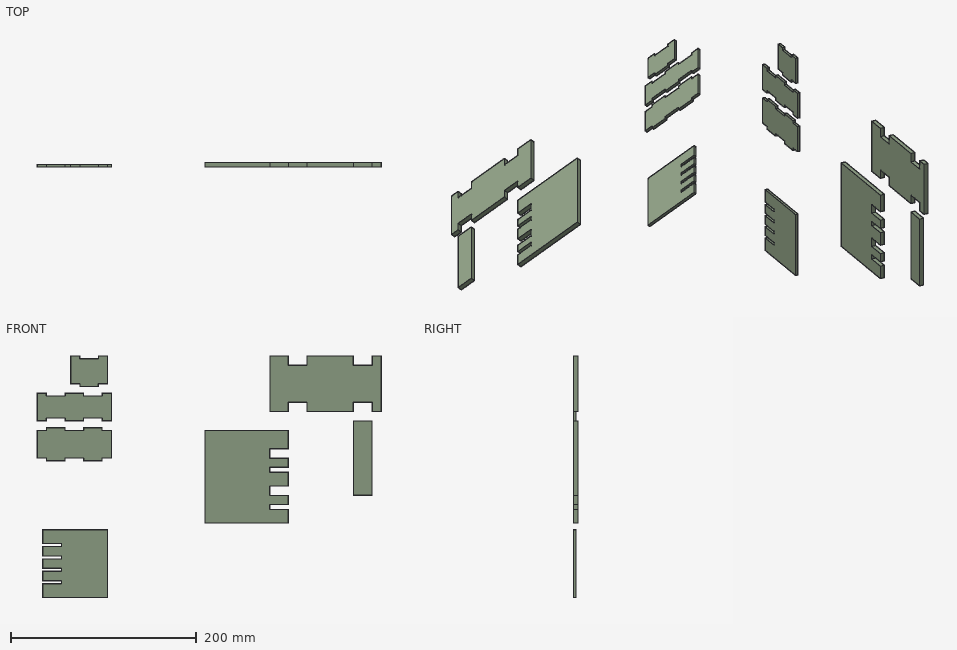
import cadquery as cq

layout_width = 370.2
layout_height = 260.0

module = 10.0
thick_sheet = module / 2
thin_sheet = 3.0

finger_width = 2 * module
slot_length = 2 * module

cross_width = 12 * module
cross_height = 6 * module
cross_left = layout_width - cross_width
cross_bottom = layout_height - cross_height
cross_notch_depth = module
cross_notch_offsets = [2 * module, 9 * module]

strip_width = 2 * module
strip_height = 8 * module
strip_left = cross_left + cross_notch_offsets[1]
strip_bottom = cross_bottom - module - strip_height

thick_comb_width = 9 * module
thick_comb_height = 10 * module
thick_comb_right = cross_left + slot_length
thick_comb_top = cross_bottom - 2 * module
wide_slot = module
narrow_slot = thick_sheet
slot_pair_pitch = 4 * module
first_wide_slot = 2 * module
first_narrow_slot = 4 * module
slot_pair_count = 2

thin_comb_left = 6.0
thin_comb_width = 7 * module
thin_comb_margin = 1.5 * module
thin_slot_count = 4
thin_slot_pitch = 4 * module / (thin_slot_count - 1)
thin_comb_height = 2 * thin_comb_margin + 4 * module + thin_sheet

panel_height = 3 * module
long_panel_width = 8 * module
long_finger_offsets = [module, 5 * module]
short_panel_width = 4 * module
short_panel_left = 36.0
short_panel_bottom = layout_height - panel_height
notched_panel_bottom = short_panel_bottom - 4 * module
tabbed_panel_bottom = notched_panel_bottom - 4 * module


def plate(left, bottom, width, height, thickness):
    """Upright rectangular plate with its front face at Y = 0."""
    return cq.Workplane("XY").box(width, thickness, height, centered=False).translate((left, 0, bottom))


def make_cross_plate():
    body = plate(cross_left, cross_bottom, cross_width, cross_height, thick_sheet)
    for offset in cross_notch_offsets:
        for notch_bottom in (cross_bottom, layout_height - cross_notch_depth):
            notch_left = cross_left + offset
            body = body.cut(plate(notch_left, notch_bottom, finger_width, cross_notch_depth, thick_sheet))
    return body


def make_strip():
    return plate(strip_left, strip_bottom, strip_width, strip_height, thick_sheet)


def make_thick_comb():
    left = thick_comb_right - thick_comb_width
    bottom = thick_comb_top - thick_comb_height
    body = plate(left, bottom, thick_comb_width, thick_comb_height, thick_sheet)
    slot_left = thick_comb_right - slot_length
    for pair in range(slot_pair_count):
        for first_slot, slot_width in ((first_wide_slot, wide_slot), (first_narrow_slot, narrow_slot)):
            slot_top = thick_comb_top - first_slot - pair * slot_pair_pitch
            body = body.cut(plate(slot_left, slot_top - slot_width, slot_length, slot_width, thick_sheet))
    return body


def make_thin_comb():
    body = plate(thin_comb_left, 0, thin_comb_width, thin_comb_height, thin_sheet)
    for index in range(thin_slot_count):
        slot_bottom = thin_comb_margin + index * thin_slot_pitch
        body = body.cut(plate(thin_comb_left, slot_bottom, slot_length, thin_sheet, thin_sheet))
    return body


def make_short_panel():
    """Panel with one notch in its top edge and one matching tab on its bottom edge."""
    body = plate(short_panel_left, short_panel_bottom, short_panel_width, panel_height, thin_sheet)
    finger_left = short_panel_left + (short_panel_width - finger_width) / 2
    notch = plate(finger_left, layout_height - thin_sheet, finger_width, thin_sheet, thin_sheet)
    tab = plate(finger_left, short_panel_bottom - thin_sheet, finger_width, thin_sheet, thin_sheet)
    return body.cut(notch).union(tab)


def make_notched_panel():
    """Long panel with two notches in its top and bottom edges."""
    body = plate(0, notched_panel_bottom, long_panel_width, panel_height, thin_sheet)
    upper_notch_bottom = notched_panel_bottom + panel_height - thin_sheet
    for finger_left in long_finger_offsets:
        for notch_bottom in (notched_panel_bottom, upper_notch_bottom):
            body = body.cut(plate(finger_left, notch_bottom, finger_width, thin_sheet, thin_sheet))
    return body


def make_tabbed_panel():
    """Long panel with two tabs on its top and bottom edges."""
    body = plate(0, tabbed_panel_bottom, long_panel_width, panel_height, thin_sheet)
    lower_tab_bottom = tabbed_panel_bottom - thin_sheet
    upper_tab_bottom = tabbed_panel_bottom + panel_height
    for finger_left in long_finger_offsets:
        for tab_bottom in (lower_tab_bottom, upper_tab_bottom):
            body = body.union(plate(finger_left, tab_bottom, finger_width, thin_sheet, thin_sheet))
    return body


cross_plate = make_cross_plate()
strip = make_strip()
thick_comb = make_thick_comb()
thin_comb = make_thin_comb()
short_panel = make_short_panel()
notched_panel = make_notched_panel()
tabbed_panel = make_tabbed_panel()

result = cq.Compound.makeCompound([
    cross_plate.val(),
    strip.val(),
    thick_comb.val(),
    thin_comb.val(),
    short_panel.val(),
    notched_panel.val(),
    tabbed_panel.val(),
])